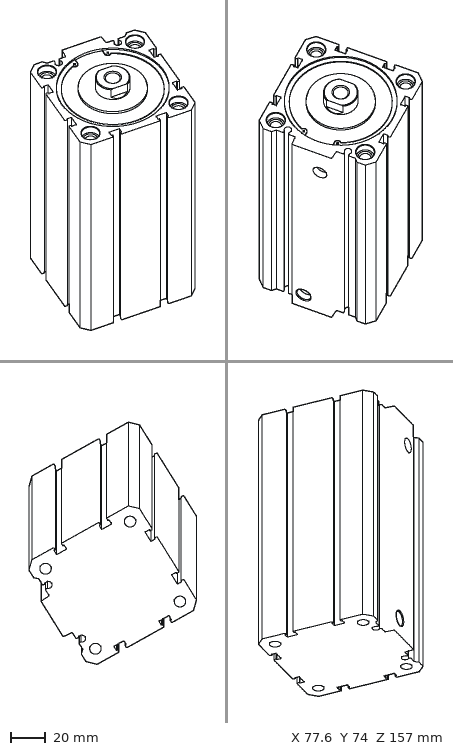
import cadquery as cq

housing_height = 149.0
housing_side = 74.0
half_side = housing_side / 2
corner_chamfer = 4.7

pad_reach = 3.6
pad_half_width = 12.5
pad_root_half_width = 13.0
pad_radius = 0.5
band_depth = 2.2
band_half_width = 27.0
band_slope_width = 2.0

slot_offset = 15.0
slot_mouth_width = 5.0
slot_inner_width = 6.6
slot_lip = 1.7
slot_depth = 4.5
slot_mouth_radius = 0.5

groove_offset = 19.0
groove_diameter = 4.2
groove_depth = 5.0
groove_mouth_width = 3.0
groove_mouth_radius = 0.5

bolt_pitch = 56.5
bolt_diameter = 6.6
bolt_chamfer_diameter = 8.3
counterbore_diameter = 10.5
counterbore_rim_diameter = 11.1
counterbore_depth = 4.7

port_diameter = 8.6
port_depth = 4.4
port_offset = 5.2
upper_port_height = 131.9
lower_port_height = 11.6
lower_port_rim_diameter = 9.7

recess_diameter = 65.0
recess_depth = 1.7
cover_boss_diameter = 40.0
cover_boss_height = 1.5
ring_inner_diameter = 59.3
ring_thickness = 0.6
ring_lug_x = -28.1
ring_lug_y = 10.7
ring_lug_diameter = 4.0
ring_lug_hole_diameter = 1.0

rod_top = 157.0
rod_diameter = 20.0
rod_bottom = 125.6
rod_chamfer = 0.5
rod_flat_spacing = 17.0
rod_flat_length = 6.3
thread_diameter = 8.6
thread_rim_diameter = 10.0
thread_depth = 18.8

cover_level = housing_height - recess_depth


def cylinder(diameter, bottom, top, x=0.0, y=0.0):
    return cq.Workplane("XY", origin=(x, y, bottom)).circle(diameter / 2).extrude(top - bottom)


def cone(bottom_diameter, top_diameter, bottom, x=0.0, y=0.0):
    """Truncated cone with 45 degree sides, standing on the level `bottom`."""
    height = abs(top_diameter - bottom_diameter) / 2
    solid = cq.Solid.makeCone(
        bottom_diameter / 2, top_diameter / 2, height, cq.Vector(x, y, bottom), cq.Vector(0, 0, 1)
    )
    return cq.Workplane(obj=solid)


def block(x_start, x_end, y_middle, width):
    """Full-height block between two X positions."""
    return (
        cq.Workplane("XY")
        .center((x_start + x_end) / 2, y_middle)
        .rect(x_end - x_start, width)
        .extrude(housing_height)
    )


def round_corners(body, points, radius):
    """Round the full-height edges that stand at the given XY points."""
    for x, y in points:
        nearest = cq.selectors.NearestToPointSelector((x, y, housing_height / 2))
        body = body.edges("|Z").edges(nearest).fillet(radius)
    return body


def make_profile():
    """Chamfered square with the lowered band and the port pad on -X."""
    square = (
        cq.Workplane("XY")
        .rect(housing_side, housing_side)
        .extrude(housing_height)
        .edges("|Z")
        .chamfer(corner_chamfer)
    )
    band_x = -half_side + band_depth
    band = (
        cq.Workplane("XY")
        .polyline([
            (-half_side, -band_half_width),
            (band_x, -band_half_width + band_slope_width),
            (band_x, band_half_width - band_slope_width),
            (-half_side, band_half_width),
        ])
        .close()
        .extrude(housing_height)
    )
    pad_x = -half_side - pad_reach
    pad = (
        cq.Workplane("XY")
        .polyline([
            (band_x, -pad_root_half_width),
            (pad_x, -pad_half_width),
            (pad_x, pad_half_width),
            (band_x, pad_root_half_width),
        ])
        .close()
        .extrude(housing_height)
    )
    pad_corners = [
        (x, side * half_width)
        for side in (-1, 1)
        for x, half_width in ((pad_x, pad_half_width), (band_x, pad_root_half_width))
    ]
    return round_corners(square.cut(band).union(pad), pad_corners, pad_radius)


def turn(body, angle):
    """Turn about the cylinder axis."""
    return body.rotate((0, 0, 0), (0, 0, 1), angle)


def cut_sensor_slots(body):
    """Pairs of T-slots with rounded mouths on the +X, +Y and -Y faces."""
    floor_x = half_side - slot_depth
    for angle in (0, 90, -90):
        body = turn(body, -angle)
        for y in (-slot_offset, slot_offset):
            body = body.cut(block(floor_x, half_side, y, slot_mouth_width))
            body = body.cut(block(floor_x, half_side - slot_lip, y, slot_inner_width))
            mouth = [(half_side, y - slot_mouth_width / 2), (half_side, y + slot_mouth_width / 2)]
            body = round_corners(body, mouth, slot_mouth_radius)
        body = turn(body, angle)
    return body


def cut_grooves(body):
    """Two keyhole-shaped grooves with rounded mouths beside the port pad."""
    face_x = -half_side + band_depth
    centre_x = face_x + groove_depth - groove_diameter / 2
    for y in (-groove_offset, groove_offset):
        body = body.cut(block(face_x, centre_x, y, groove_mouth_width))
        body = body.cut(cylinder(groove_diameter, 0, housing_height, centre_x, y))
        mouth = [(face_x, y - groove_mouth_width / 2), (face_x, y + groove_mouth_width / 2)]
        body = round_corners(body, mouth, groove_mouth_radius)
    return body


def cut_bolt_holes(body):
    """Through holes at the corners, with a chamfered counterbore at the top."""
    floor = housing_height - counterbore_depth
    rim_height = (counterbore_rim_diameter - counterbore_diameter) / 2
    chamfer_height = (bolt_chamfer_diameter - bolt_diameter) / 2
    for x in (-bolt_pitch / 2, bolt_pitch / 2):
        for y in (-bolt_pitch / 2, bolt_pitch / 2):
            body = body.cut(cylinder(bolt_diameter, 0, housing_height, x, y))
            body = body.cut(cone(bolt_diameter, bolt_chamfer_diameter, floor - chamfer_height, x, y))
            body = body.cut(cylinder(counterbore_diameter, floor, housing_height, x, y))
            body = body.cut(
                cone(counterbore_diameter, counterbore_rim_diameter, housing_height - rim_height, x, y)
            )
    return body


def cut_ports(body):
    """Two blind ports in the pad; the lower one has a chamfered rim."""
    pad_x = -half_side - pad_reach
    inward = cq.Vector(1, 0, 0)
    for y, z in ((-port_offset, upper_port_height), (port_offset, lower_port_height)):
        mouth = cq.Vector(pad_x, y, z)
        body = body.cut(
            cq.Workplane(obj=cq.Solid.makeCylinder(port_diameter / 2, port_depth, mouth, inward))
        )
    rim_depth = (lower_port_rim_diameter - port_diameter) / 2
    rim = cq.Solid.makeCone(
        lower_port_rim_diameter / 2,
        port_diameter / 2,
        rim_depth,
        cq.Vector(pad_x, port_offset, lower_port_height),
        inward,
    )
    return body.cut(cq.Workplane(obj=rim))


def make_retaining_ring():
    """Open ring with a holed lug at each end, lying on the cover."""
    top = cover_level + ring_thickness
    ring = cylinder(recess_diameter, cover_level, top).cut(
        cylinder(ring_inner_diameter, cover_level, top)
    )
    gap = (
        cq.Workplane("XY", origin=(-recess_diameter / 2, 0, cover_level))
        .rect(recess_diameter, 2 * ring_lug_y - ring_lug_diameter)
        .extrude(ring_thickness)
    )
    ring = ring.cut(gap)
    for y in (-ring_lug_y, ring_lug_y):
        ring = ring.union(cylinder(ring_lug_diameter, cover_level, top, ring_lug_x, y))
        ring = ring.cut(cylinder(ring_lug_hole_diameter, cover_level, top, ring_lug_x, y))
    return ring


def make_housing():
    body = cut_sensor_slots(make_profile())
    body = cut_grooves(body)
    body = cut_bolt_holes(body)
    body = cut_ports(body)
    body = body.cut(cylinder(recess_diameter, cover_level, housing_height))
    body = body.union(cylinder(cover_boss_diameter, cover_level, cover_level + cover_boss_height))
    body = body.union(make_retaining_ring())
    return body.cut(cylinder(rod_diameter, rod_bottom, housing_height))


def make_rod():
    """Rod with two wrench flats that run out at 45 degrees, and a hole in its end."""
    rod = cylinder(rod_diameter, rod_bottom, rod_top).faces(">Z").chamfer(rod_chamfer)
    flat_x = rod_flat_spacing / 2
    outer_x = rod_diameter / 2
    flat_bottom = rod_top - rod_flat_length
    for side in (-1, 1):
        flat = (
            cq.Workplane("XZ")
            .polyline([
                (side * flat_x, rod_top),
                (side * flat_x, flat_bottom),
                (side * outer_x, flat_bottom - (outer_x - flat_x)),
                (side * outer_x, rod_top),
            ])
            .close()
            .extrude(outer_x, both=True)
        )
        rod = rod.cut(flat)
    rim_depth = (thread_rim_diameter - thread_diameter) / 2
    rod = rod.cut(cylinder(thread_diameter, rod_top - thread_depth, rod_top))
    return rod.cut(cone(thread_diameter, thread_rim_diameter, rod_top - rim_depth))


housing = make_housing().solids()
piston_rod = make_rod().solids()

result = cq.Compound.makeCompound([housing.val(), piston_rod.val()])